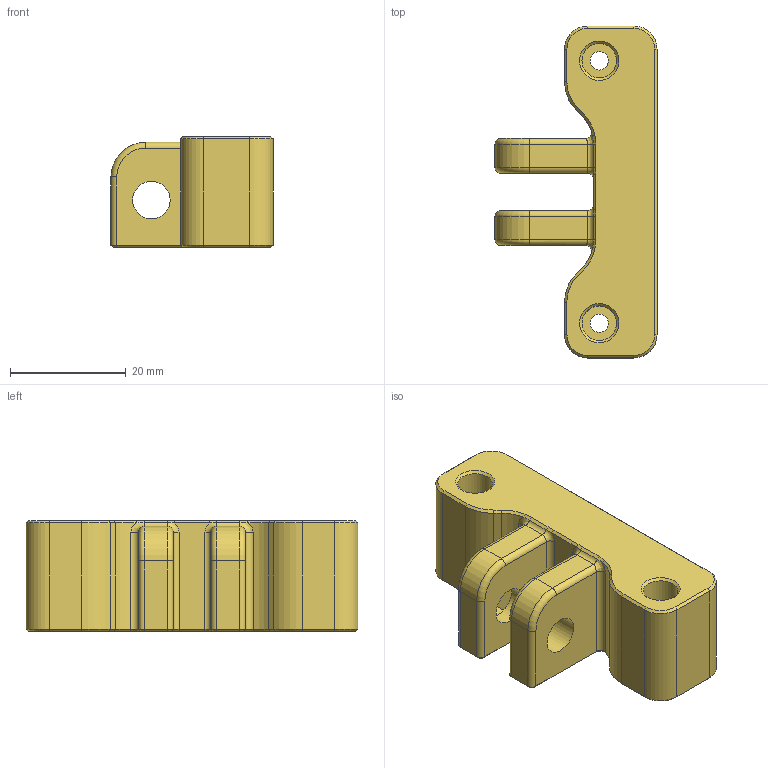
import cadquery as cq
import math

total_depth = 28.05
block_length = 57.43
block_depth = 16.0
block_height = 19.2
block_corner_radius = 4.0
edge_chamfer = 0.4

waist_recess = 5.0
waist_half_width = 8.3
flank_radius = 7.0
flank_angle = math.radians(45)

lug_width = 6.0
lug_gap = 6.5
lug_reach = 7.0
lug_drop = 1.0
lug_nose_radius = 6.0
lug_edge_radius = 1.0
lug_root_radius = 1.0
pivot_diameter = 6.5
pivot_height = 8.2

nut_across_flats = 8.0
nut_pocket_depth = 3.3

screw_diameter = 3.2
counterbore_diameter = 6.0
counterbore_floor = 4.0
screw_inset = 6.0

block_right = total_depth - lug_reach
block_left = block_right - block_depth
waist_x = block_left + waist_recess
half_length = block_length / 2
lug_height = block_height - lug_drop
lug_center_y = (lug_gap + lug_width) / 2
lug_outer_y = lug_gap / 2 + lug_width
screw_x = block_left + screw_inset
screw_y = half_length - screw_inset


def arc_offset(angle):
    """Depth and run covered by a flank arc that turns through the given angle."""
    return flank_radius * (1 - math.cos(angle)), flank_radius * math.sin(angle)


def make_block(height):
    """Waisted block with rounded vertical corners."""
    mid_depth, mid_run = arc_offset(flank_angle / 2)
    end_depth, end_run = arc_offset(flank_angle)
    straight_depth = waist_recess - 2 * end_depth
    straight_run = straight_depth / math.tan(flank_angle)
    flank_end_y = waist_half_width + 2 * end_run + straight_run

    outline = (
        cq.Workplane("XY")
        .moveTo(block_right, -half_length)
        .lineTo(block_right, half_length)
        .lineTo(block_left, half_length)
        .lineTo(block_left, flank_end_y)
        .threePointArc(
            (block_left + mid_depth, flank_end_y - mid_run),
            (block_left + end_depth, flank_end_y - end_run),
        )
        .lineTo(waist_x - end_depth, waist_half_width + end_run)
        .threePointArc(
            (waist_x - mid_depth, waist_half_width + mid_run),
            (waist_x, waist_half_width),
        )
        .lineTo(waist_x, -waist_half_width)
        .threePointArc(
            (waist_x - mid_depth, -waist_half_width - mid_run),
            (waist_x - end_depth, -waist_half_width - end_run),
        )
        .lineTo(block_left + end_depth, -flank_end_y + end_run)
        .threePointArc(
            (block_left + mid_depth, -flank_end_y + mid_run),
            (block_left, -flank_end_y),
        )
        .lineTo(block_left, -half_length)
        .close()
    )
    block = outline.extrude(height)
    return block.faces("<Y or >Y").edges("|Z").fillet(block_corner_radius)


def make_lug(center_y):
    """Plate with a rounded nose, reaching from inside the block past the pivot."""
    root_x = (waist_x + block_right) / 2
    lug = cq.Workplane("XY").box(
        root_x + lug_reach, lug_width, lug_height, centered=False
    ).translate((-lug_reach, center_y - lug_width / 2, 0))
    lug = lug.edges("<X and >Z").fillet(lug_nose_radius)
    return lug.faces(">Z").edges("|X").fillet(lug_edge_radius)


def round_lug_roots(body):
    """Fillet the concave edges where the lug sides and tops meet the waist."""
    margin = lug_root_radius / 2
    root_zone = cq.selectors.BoxSelector(
        (waist_x - margin, -lug_outer_y - margin, margin),
        (waist_x + margin, lug_outer_y + margin, lug_height + margin),
    )
    return body.edges(root_zone).fillet(lug_root_radius)


def trim_to_height(body):
    envelope = cq.Workplane("XY").box(
        2 * total_depth, 2 * block_length, block_height, centered=(True, True, False)
    )
    return body.intersect(envelope)


def make_pivot_hole():
    pivot = cq.Workplane("XZ").center(0, pivot_height).circle(pivot_diameter / 2)
    return pivot.extrude(lug_outer_y, both=True)


def make_nut_pocket():
    """Hexagonal cutting tool with flats above and below the pivot axis."""
    across_corners = nut_across_flats / math.cos(math.radians(30))
    hexagon = cq.Workplane("XZ", origin=(0, lug_outer_y, pivot_height)).polygon(6, across_corners)
    return hexagon.extrude(nut_pocket_depth)


def make_screw_hole(center_y):
    """Through hole with a deep counterbore and a chamfered mouth, as a cutting tool."""
    screw_radius = screw_diameter / 2
    bore_radius = counterbore_diameter / 2
    mouth_radius = bore_radius + edge_chamfer
    half_profile = (
        cq.Workplane("XZ")
        .lineTo(screw_radius, 0)
        .lineTo(screw_radius, counterbore_floor)
        .lineTo(bore_radius, counterbore_floor)
        .lineTo(bore_radius, block_height - edge_chamfer)
        .lineTo(mouth_radius, block_height)
        .lineTo(0, block_height)
        .close()
    )
    return half_profile.revolve(360, (0, 0), (0, 1)).translate((screw_x, center_y, 0))


body = make_block(block_height + lug_root_radius)
for side in (-1, 1):
    body = body.union(make_lug(side * lug_center_y))
body = trim_to_height(round_lug_roots(body))

body = body.faces(">Z").edges().chamfer(edge_chamfer)
body = body.faces("<Z").edges().chamfer(edge_chamfer)

body = body.cut(make_pivot_hole()).cut(make_nut_pocket())
for side in (-1, 1):
    body = body.cut(make_screw_hole(side * screw_y))

result = body